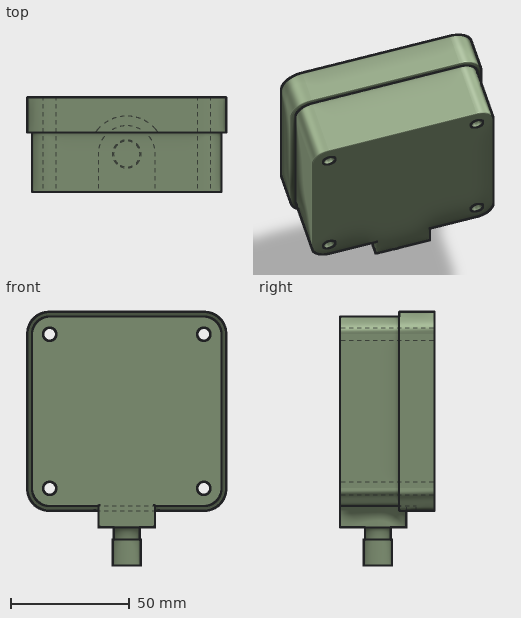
import cadquery as cq

LID_SIZE = 84.0
LID_DEPTH = 15.0
TOTAL_DEPTH = 40.0
STEP = 2.0
LID_CORNER = 9.5
EDGE_RADIUS = 0.5
BASE_DEPTH = TOTAL_DEPTH - LID_DEPTH
BASE_SIZE = LID_SIZE - 2 * STEP
BASE_CORNER = LID_CORNER - STEP
LID_BOTTOM = -LID_SIZE / 2
BASE_BOTTOM = -BASE_SIZE / 2

HOLE_DIAMETER = 5.5
HOLE_SPACING = LID_SIZE - 2 * LID_CORNER

OUTLET_AXIS_Y = 16.0
BLOCK_RADIUS = 12.0
BLOCK_DROP = 7.0
NECK_DIAMETER = 11.0
NECK_LENGTH = 5.1
SLEEVE_DIAMETER = 12.0
SLEEVE_LENGTH = 10.9
BLOCK_BOTTOM = LID_BOTTOM - BLOCK_DROP
NECK_BOTTOM = BLOCK_BOTTOM - NECK_LENGTH

NOTCH_RADIUS = 16.0
OVERLAP = 1.6


def rounded_plate(size, corner, front, depth):
    plate = cq.Workplane("XZ", origin=(0, front, 0)).rect(size, size).extrude(-depth)
    return plate.edges("|Y").fillet(corner)


def outlet_cylinder(radius, bottom, height):
    plane = cq.Workplane("XY", origin=(0, OUTLET_AXIS_Y, bottom))
    return plane.circle(radius).extrude(height)


def make_base():
    base = rounded_plate(BASE_SIZE, BASE_CORNER, 0, BASE_DEPTH)
    return base.faces("<Y").edges().fillet(EDGE_RADIUS)


def make_lid():
    lid = rounded_plate(LID_SIZE, LID_CORNER, BASE_DEPTH, LID_DEPTH)
    notch_height = BASE_BOTTOM + OVERLAP - LID_BOTTOM
    lid = lid.cut(outlet_cylinder(NOTCH_RADIUS, LID_BOTTOM, notch_height))
    lid = lid.faces("<Y or >Y").edges().fillet(EDGE_RADIUS)
    backing_depth = OUTLET_AXIS_Y + NOTCH_RADIUS - BASE_DEPTH
    backing = cq.Workplane("XY", origin=(0, BASE_DEPTH + backing_depth / 2, BASE_BOTTOM)).box(
        2 * NOTCH_RADIUS, backing_depth, 2 * OVERLAP, centered=(True, True, False)
    )
    return lid.union(backing)


def make_block():
    profile = (
        cq.Workplane("XY", origin=(0, 0, BLOCK_BOTTOM))
        .moveTo(-BLOCK_RADIUS, 0)
        .lineTo(BLOCK_RADIUS, 0)
        .lineTo(BLOCK_RADIUS, OUTLET_AXIS_Y)
        .threePointArc((0, OUTLET_AXIS_Y + BLOCK_RADIUS), (-BLOCK_RADIUS, OUTLET_AXIS_Y))
        .close()
    )
    block = profile.extrude(BASE_BOTTOM + OVERLAP - BLOCK_BOTTOM)
    return block.faces("<Y").edges("|Z or <Z").fillet(EDGE_RADIUS)


def make_outlet():
    neck = outlet_cylinder(NECK_DIAMETER / 2, NECK_BOTTOM, NECK_LENGTH)
    sleeve = outlet_cylinder(SLEEVE_DIAMETER / 2, NECK_BOTTOM - SLEEVE_LENGTH, SLEEVE_LENGTH)
    return make_block().union(neck).union(sleeve)


def make_holes():
    grid = cq.Workplane("XZ").rect(HOLE_SPACING, HOLE_SPACING, forConstruction=True)
    return grid.vertices().circle(HOLE_DIAMETER / 2).extrude(-TOTAL_DEPTH)


result = make_base().union(make_lid()).union(make_outlet()).cut(make_holes())